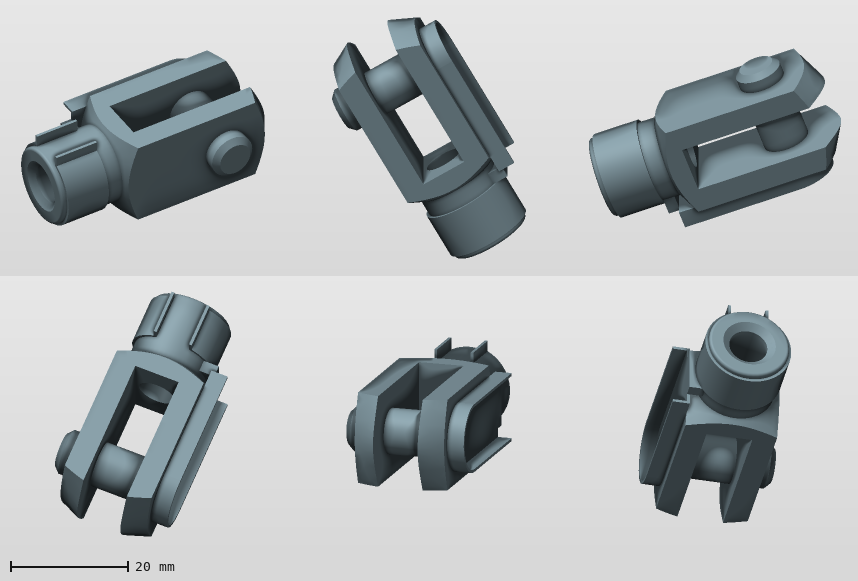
import cadquery as cq
import math

total_length = 42.0
fork_width = 16.0
slot_width = 8.0
slot_floor = 16.0
cone_slope = math.tan(math.radians(30))

shank_diameter = 14.0
shank_length = 12.0
shank_end_round = 0.5
bore_diameter = 6.65
bore_mouth_diameter = 9.15
bore_mouth_depth = 1.0

pin_diameter = 8.0
pin_y = 32.0
pin_end_x = 11.0
pin_chamfer = 1.0

sheet = 0.5
clip_width = 12.0
clip_depth = 3.0
clip_end_y = 11.0
tongue_width = 8.0
ring_start_y = 1.0
ring_end_y = 9.0
ring_gap = 6.0
tab_top_z = 8.5

half_width = fork_width / 2
shank_radius = shank_diameter / 2
ring_radius = shank_radius + sheet
ring_length = ring_end_y - ring_start_y


def block(x_range, y_range, z_range):
    """Axis-aligned box given by its limits along X, Y and Z."""
    limits = (x_range, y_range, z_range)
    lengths = [high - low for low, high in limits]
    corner = tuple(low for low, high in limits)
    return cq.Workplane("XY").box(*lengths, centered=False).translate(corner)


def cylinder_y(radius, start_y, length):
    """Cylinder on the Y axis, growing towards +Y from start_y."""
    return cq.Workplane("XZ", origin=(0, start_y, 0)).circle(radius).extrude(-length)


def make_fork():
    """Square bar with both ends turned to cones, slotted through along Z."""
    turned_radius = fork_width
    slot_half = slot_width / 2
    rear_cone_y = shank_length + (turned_radius - shank_radius) * cone_slope
    tip_cone_y = total_length - (turned_radius - slot_half) * cone_slope
    apex_y = total_length + slot_half * cone_slope
    turned = (
        cq.Workplane("XY")
        .polyline([
            (0, shank_length),
            (shank_radius, shank_length),
            (turned_radius, rear_cone_y),
            (turned_radius, tip_cone_y),
            (0, apex_y),
        ])
        .close()
        .revolve(360, (0, 0, 0), (0, 1, 0))
    )
    across = (-half_width, half_width)
    bar = block(across, (shank_length, apex_y), across)
    slot = block((-slot_half, slot_half), (slot_floor, apex_y), across)
    return bar.intersect(turned).cut(slot)


def make_shank():
    """Round shank with a rounded end edge."""
    return cylinder_y(shank_radius, 0, slot_floor).faces("<Y").edges().fillet(shank_end_round)


def make_bore():
    """Bore from the shank end to the slot, with a conical mouth."""
    bore_radius = bore_diameter / 2
    mouth_radius = bore_mouth_diameter / 2
    return (
        cq.Workplane("XY")
        .polyline([
            (0, 0),
            (mouth_radius, 0),
            (bore_radius, bore_mouth_depth),
            (bore_radius, slot_floor),
            (0, slot_floor),
        ])
        .close()
        .revolve(360, (0, 0, 0), (0, 1, 0))
    )


def make_pin():
    """Cross pin from the clip plate through both fork arms."""
    return (
        cq.Workplane("YZ", origin=(-half_width, pin_y, 0))
        .circle(pin_diameter / 2)
        .extrude(half_width + pin_end_x)
        .faces(">X")
        .edges()
        .chamfer(pin_chamfer)
    )


def clip_outline(half_height, start_x, depth):
    """Solid with one round end about the pin axis and one straight end."""
    return (
        cq.Workplane("YZ", origin=(start_x, 0, 0))
        .moveTo(clip_end_y, -half_height)
        .lineTo(pin_y, -half_height)
        .threePointArc((pin_y + half_height, 0), (pin_y, half_height))
        .lineTo(clip_end_y, half_height)
        .close()
        .extrude(depth)
    )


def make_clip_cover():
    """Plate against the fork side, with a rim that is open towards the shank."""
    outer_x = -half_width - clip_depth
    cover = clip_outline(clip_width / 2, outer_x, clip_depth)
    recess = clip_outline(clip_width / 2 - sheet, outer_x, clip_depth - sheet)
    return cover.cut(recess)


def make_tongue():
    """Block joining the cover plate to the ring and shank."""
    half_tongue = tongue_width / 2
    return block((-half_width - sheet, 0), (ring_end_y, clip_end_y), (-half_tongue, half_tongue))


def make_ring():
    """Ring around the shank, open at the top between two upright tabs."""
    half_gap = ring_gap / 2
    along = (ring_start_y, ring_end_y)
    ring = cylinder_y(ring_radius, ring_start_y, ring_length)
    ring = ring.cut(block((-half_gap, half_gap), along, (0, ring_radius)))
    for inner_x in (-half_gap - sheet, half_gap):
        ring = ring.union(block((inner_x, inner_x + sheet), along, (shank_radius / 2, tab_top_z)))
    return ring


result = make_fork()
for piece in (make_shank(), make_pin(), make_clip_cover(), make_tongue(), make_ring()):
    result = result.union(piece)
result = result.cut(make_bore())